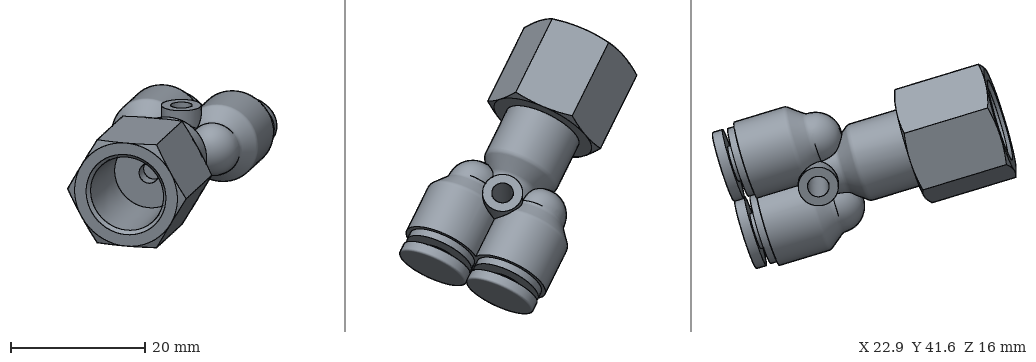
import cadquery as cq
import math


total_length = 41.6
port_end_y = total_length / 2
nut_end_y = -total_length / 2

port_offset = 5.5

flange_width = 10.95
flange_height = 8.65
flange_thickness = 1.62
flange_rounding = 0.3
button_stem_diameter = 5.5
button_stem_length = 0.8

sleeve_diameter = 10.6
sleeve_length = 1.15

post_radius = 5.95
neck_radius = 4.0
shoulder_length = 2.55
shoulder_blend = 1.1
branch_length = 8.03
branch_neck_length = 0.37
barrel_length = 8.03

eye_drop = 13.2
eye_diameter = 6.0
eye_hole_diameter = 3.2

nut_across_flats = 16.0
nut_length = 13.98
nut_chamfer_angle = 20.0
bore_mouth_diameter = 12.45
bore_start_diameter = 11.35
bore_end_diameter = 10.6
bore_mouth_depth = 0.55
bore_depth = 11.65
passage_diameter = 3.0

sleeve_top_y = port_end_y - flange_thickness - button_stem_length
branch_top_y = sleeve_top_y - sleeve_length
nut_top_y = nut_end_y + nut_length
eye_y = port_end_y - eye_drop


def disc(diameter, start_y, length, x=0.0):
    """Cylinder along Y, from start_y towards +Y."""
    return cq.Workplane("XZ", origin=(x, start_y, 0)).circle(diameter / 2).extrude(-length)


def make_button(x):
    """Oval press flange on a round stem."""
    flange_y = port_end_y - flange_thickness
    flange = (
        cq.Workplane("XZ", origin=(x, flange_y, 0))
        .ellipse(flange_width / 2, flange_height / 2)
        .extrude(-flange_thickness)
        .faces(">Y").edges().fillet(flange_rounding)
    )
    return flange.union(disc(button_stem_diameter, sleeve_top_y, button_stem_length, x))


def make_sleeve(x):
    return disc(sleeve_diameter, branch_top_y, sleeve_length, x)


def flared_post(wide_length, neck_length):
    """Round post from Y = 0 towards +Y: wide cylinder, blended cone, neck."""
    slope = math.atan2(post_radius - neck_radius, shoulder_length)
    tangent = shoulder_blend * math.tan(slope / 2)
    tangent_in = tangent * math.sin(slope)
    tangent_along = tangent * math.cos(slope)
    cone_end = wide_length + shoulder_length
    return (
        cq.Workplane("XY")
        .lineTo(post_radius, 0)
        .lineTo(post_radius, wide_length - tangent)
        .tangentArcPoint((post_radius - tangent_in, wide_length + tangent_along), relative=False)
        .lineTo(neck_radius + tangent_in, cone_end - tangent_along)
        .tangentArcPoint((neck_radius, cone_end + tangent), relative=False)
        .lineTo(neck_radius, cone_end + neck_length)
        .lineTo(0, cone_end + neck_length)
        .close()
        .revolve(360, (0, 0, 0), (0, 1, 0))
    )


def make_branch(x):
    """Tube port of the housing, ending in a ball towards -Y."""
    ball_y = branch_length + shoulder_length + branch_neck_length
    ball = cq.Workplane("XY").sphere(neck_radius).translate((0, ball_y, 0))
    branch = flared_post(branch_length, branch_neck_length).union(ball)
    return branch.rotate((0, 0, 0), (0, 0, 1), 180).translate((x, branch_top_y, 0))


def make_housing():
    """Two branches and a barrel, joined around a mounting eye."""
    barrel_neck_length = eye_y - nut_top_y - barrel_length - shoulder_length
    body = flared_post(barrel_length, barrel_neck_length).translate((0, nut_top_y, 0))
    for x in port_positions:
        body = body.union(make_branch(x))

    eye_plane = cq.Workplane("XY", origin=(0, eye_y, 0))
    eye = eye_plane.circle(eye_diameter / 2).extrude(post_radius, both=True)
    eye_hole = eye_plane.circle(eye_hole_diameter / 2).extrude(post_radius, both=True)
    return body.union(eye).cut(eye_hole)


def make_nut():
    """Hexagon with chamfered corners, a tapered bore and a passage to the housing."""
    flat_radius = nut_across_flats / 2
    corner_radius = flat_radius / math.cos(math.pi / 6)
    hexagon = (
        cq.Workplane("XZ", origin=(0, nut_end_y, 0))
        .polygon(6, 2 * corner_radius)
        .extrude(-nut_length)
    )

    chamfer_depth = (corner_radius - flat_radius) * math.tan(math.radians(nut_chamfer_angle))
    turned = (
        cq.Workplane("XY")
        .moveTo(0, nut_end_y)
        .lineTo(flat_radius, nut_end_y)
        .lineTo(corner_radius, nut_end_y + chamfer_depth)
        .lineTo(corner_radius, nut_top_y - chamfer_depth)
        .lineTo(flat_radius, nut_top_y)
        .lineTo(0, nut_top_y)
        .close()
        .revolve(360, (0, 0, 0), (0, 1, 0))
    )

    bore = (
        cq.Workplane("XY")
        .moveTo(0, nut_end_y)
        .lineTo(bore_mouth_diameter / 2, nut_end_y)
        .lineTo(bore_start_diameter / 2, nut_end_y + bore_mouth_depth)
        .lineTo(bore_end_diameter / 2, nut_end_y + bore_depth)
        .lineTo(0, nut_end_y + bore_depth)
        .close()
        .revolve(360, (0, 0, 0), (0, 1, 0))
    )
    passage = disc(passage_diameter, nut_end_y, nut_length)
    return hexagon.intersect(turned).cut(bore).cut(passage)


port_positions = (-port_offset, port_offset)

housing = make_housing()
nut = make_nut()
sleeves = [make_sleeve(x) for x in port_positions]
buttons = [make_button(x) for x in port_positions]

result = cq.Compound.makeCompound([
    housing.val(),
    nut.val(),
    *[sleeve.val() for sleeve in sleeves],
    *[button.val() for button in buttons],
])